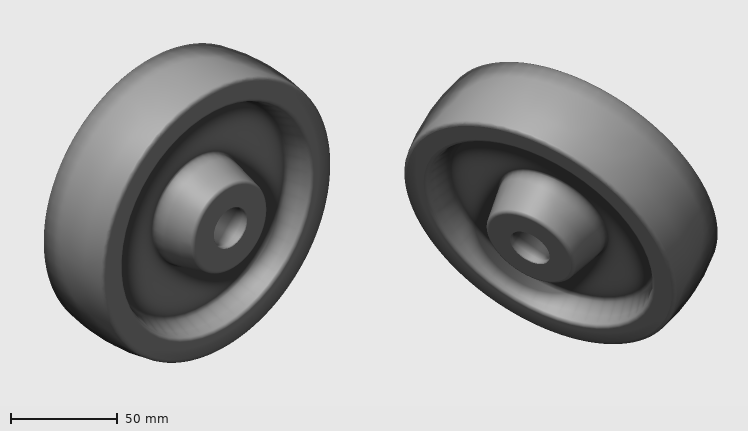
import cadquery as cq
import math

wheel_radius = 75.0
tread_edge_radius = 72.6
rim_half_width = 21.0
hub_half_width = 30.0
web_half_width = 7.5
recess_mouth_radius = 60.6
recess_floor_radius = 55.6
hub_base_radius = 28.8
hub_end_radius = 23.5
bore_radius = 10.4
bore_chamfer = 0.3
edge_round = 2.0
hub_base_round = 1.0


def rounded_edges(body, radius, edge_radius, half_width):
    """Round the pair of circular edges at X = +/- half_width."""
    margin = 0.08
    edges = [
        edge for edge in body.edges("%CIRCLE").vals()
        if abs(edge.radius() - edge_radius) < margin
        and abs(abs(edge.Center().x) - half_width) < margin
    ]
    return body.newObject(edges).fillet(radius)


profile = (
    cq.Workplane("XY")
    .moveTo(-hub_half_width, 0)
    .lineTo(-hub_half_width, hub_end_radius)
    .lineTo(-web_half_width, hub_base_radius)
    .lineTo(-web_half_width, recess_floor_radius)
    .lineTo(-rim_half_width, recess_mouth_radius)
    .lineTo(-rim_half_width, tread_edge_radius)
    .threePointArc((0, wheel_radius), (rim_half_width, tread_edge_radius))
    .lineTo(rim_half_width, recess_mouth_radius)
    .lineTo(web_half_width, recess_floor_radius)
    .lineTo(web_half_width, hub_base_radius)
    .lineTo(hub_half_width, hub_end_radius)
    .lineTo(hub_half_width, 0)
    .close()
)
wheel = profile.revolve(360, (0, 0, 0), (1, 0, 0))

wheel = rounded_edges(wheel, edge_round, tread_edge_radius, rim_half_width)
wheel = rounded_edges(wheel, edge_round, recess_mouth_radius, rim_half_width)
wheel = rounded_edges(wheel, edge_round, recess_floor_radius, web_half_width)
wheel = rounded_edges(wheel, hub_base_round, hub_base_radius, web_half_width)
wheel = rounded_edges(wheel, edge_round, hub_end_radius, hub_half_width)

bore = (
    cq.Workplane("YZ")
    .workplane(offset=-hub_half_width)
    .circle(bore_radius)
    .extrude(2 * hub_half_width)
)
wheel = wheel.cut(bore)
mouths = [
    edge for edge in wheel.edges("<X or >X").vals()
    if math.isclose(edge.radius(), bore_radius, abs_tol=bore_chamfer)
]
result = wheel.newObject(mouths).chamfer(bore_chamfer)